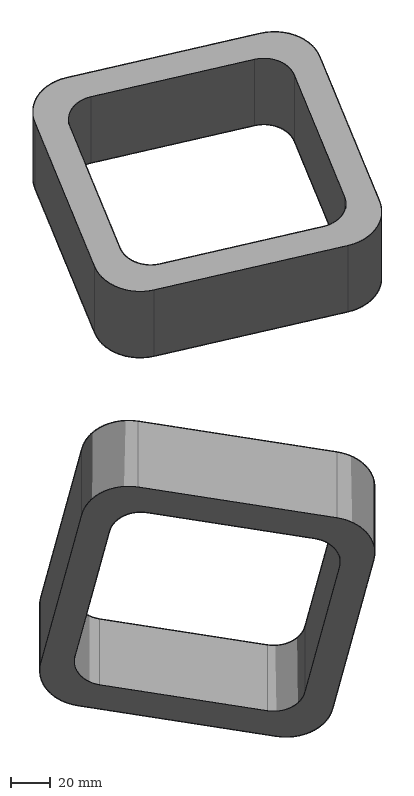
import cadquery as cq

outer_side = 150.0
height = 50.0
wall = 16.0
outer_corner_radius = 24.0
inner_corner_radius = 16.0

inner_side = outer_side - 2 * wall


def rounded_square_prism(side, corner_radius):
    """Square prism centred on the Z axis, with its vertical edges rounded."""
    return (
        cq.Workplane("XY")
        .rect(side, side)
        .extrude(height)
        .edges("|Z")
        .fillet(corner_radius)
    )


outer_body = rounded_square_prism(outer_side, outer_corner_radius)
opening = rounded_square_prism(inner_side, inner_corner_radius)

result = outer_body.cut(opening)